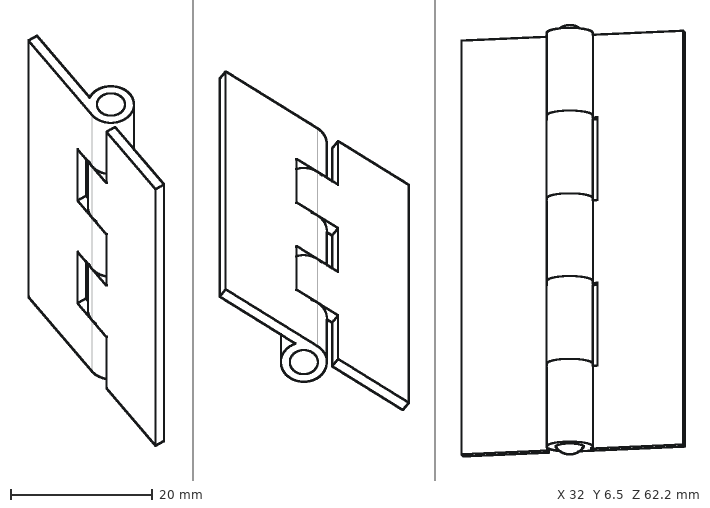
import cadquery as cq
import math

total_height = 62.2
hinge_width = 32.0
knuckle_diameter = 6.5
leaf_thickness = 1.5
leaf_height = 60.0
knuckle_count = 5
notch_clearance = 0.4
pin_radius = 2.0

half_width = hinge_width / 2
knuckle_radius = knuckle_diameter / 2
knuckle_height = leaf_height / knuckle_count
notch_edge = knuckle_radius + notch_clearance
leaf_bottom = -leaf_height / 2
leaf_top = leaf_height / 2
pin_end = total_height / 2


def plate(inner_edge, height, bottom):
    """Flat plate on the -X side, flush with the front of the knuckles."""
    return (
        cq.Workplane("XY")
        .box(half_width - inner_edge, leaf_thickness, height, centered=False)
        .translate((-half_width, -knuckle_radius, bottom))
    )


def cylinder(radius, height, bottom):
    """Cylinder along the hinge axis."""
    return cq.Workplane("XY").workplane(offset=bottom).circle(radius).extrude(height)


def make_leaf(first_knuckle):
    """Leaf on the -X side carrying every second knuckle, bored for the pin."""
    leaf = plate(notch_edge, leaf_height, leaf_bottom)
    for index in range(first_knuckle, knuckle_count, 2):
        bottom = leaf_bottom + index * knuckle_height
        leaf = leaf.union(plate(0, knuckle_height, bottom))
        leaf = leaf.union(cylinder(knuckle_radius, knuckle_height, bottom))
    return leaf.cut(cylinder(pin_radius, leaf_height, leaf_bottom))


def make_pin():
    """Pin with a shallow domed head at each end, revolved about the hinge axis."""
    dome_height = pin_end - leaf_top
    dome_radius = (pin_radius**2 + dome_height**2) / (2 * dome_height)
    mid_height = leaf_top + dome_height / 2
    mid_radius = math.sqrt(dome_radius**2 - (dome_radius - dome_height / 2) ** 2)
    return (
        cq.Workplane("XZ")
        .moveTo(0, -pin_end)
        .threePointArc((mid_radius, -mid_height), (pin_radius, leaf_bottom))
        .lineTo(pin_radius, leaf_top)
        .threePointArc((mid_radius, mid_height), (0, pin_end))
        .close()
        .revolve(360, (0, 0), (0, 1))
    )


left_leaf = make_leaf(first_knuckle=0)
right_leaf = make_leaf(first_knuckle=1).mirror("YZ")
pin = make_pin()

result = cq.Compound.makeCompound([left_leaf.val(), right_leaf.val(), pin.val()])